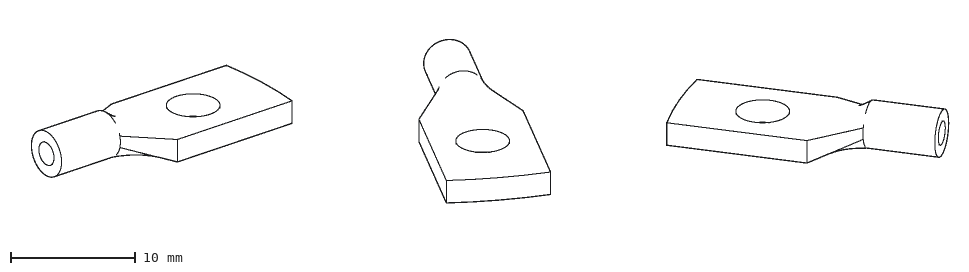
import cadquery as cq
import math

total_length = 21.97
tongue_width = 8.5
tongue_thickness = 2.0
tip_bulge = 0.26
hole_diameter = 4.3
hole_to_shoulder = 4.97

barrel_diameter = 3.9
barrel_length = 6.0
barrel_top = 4.05
bore_diameter = 1.95
bore_depth = barrel_length

neck_length = 4.0
side_arc_height = 1.0
crown_end_slope = 1.4
section_count = 7

barrel_radius = barrel_diameter / 2
barrel_axis_z = barrel_top - barrel_radius
front_y = -total_length / 2
neck_start_y = front_y + barrel_length
shoulder_y = neck_start_y + neck_length
tip_y = total_length / 2
half_width = tongue_width / 2


def blend(start, end, fraction):
    return start + (end - start) * fraction


def make_tongue():
    corner_y = tip_y - tip_bulge
    plate = (
        cq.Workplane("XY")
        .moveTo(-half_width, shoulder_y)
        .lineTo(half_width, shoulder_y)
        .lineTo(half_width, corner_y)
        .threePointArc((0, tip_y), (-half_width, corner_y))
        .close()
        .extrude(tongue_thickness)
    )
    hole = (
        cq.Workplane("XY")
        .center(0, shoulder_y + hole_to_shoulder)
        .circle(hole_diameter / 2)
        .extrude(tongue_thickness)
    )
    return plate.cut(hole)


def edge_between(start, middle, end):
    """Arc through three points, or a line where they are level."""
    points = [cq.Vector(*point) for point in (start, middle, end)]
    bow = (points[1] - (points[0] + points[2]) / 2).Length
    if math.isclose(bow, 0, abs_tol=2.2e-07):
        return cq.Edge.makeLine(points[0], points[2])
    return cq.Edge.makeThreePointArc(*points)


def neck_section(fraction):
    """Cross-section of the neck: 0 is the tongue rectangle, 1 the barrel circle."""
    y = blend(shoulder_y, neck_start_y, fraction)
    half_side = side_arc_height / 2
    arc_end_x = math.sqrt(barrel_radius**2 - half_side**2)

    corner_x = blend(half_width, arc_end_x, fraction)
    side_x = blend(half_width, barrel_radius, fraction)
    upper_z = blend(tongue_thickness, barrel_axis_z + half_side, fraction)
    lower_z = blend(0, barrel_axis_z - half_side, fraction)
    side_z = (upper_z + lower_z) / 2

    rise = (3 - crown_end_slope) * fraction**2 + (crown_end_slope - 2) * fraction**3
    crown_z = blend(tongue_thickness, barrel_top, rise)
    keel_z = blend(0, barrel_axis_z - barrel_radius, fraction)

    upper_left = (-corner_x, y, upper_z)
    upper_right = (corner_x, y, upper_z)
    lower_left = (-corner_x, y, lower_z)
    lower_right = (corner_x, y, lower_z)
    return cq.Wire.assembleEdges([
        edge_between(upper_left, (0, y, crown_z), upper_right),
        edge_between(upper_right, (side_x, y, side_z), lower_right),
        edge_between(lower_right, (0, y, keel_z), lower_left),
        edge_between(lower_left, (-side_x, y, side_z), upper_left),
    ])


def make_neck():
    last = section_count - 1
    sections = [neck_section(index / last) for index in range(section_count)]
    return cq.Workplane(cq.Solid.makeLoft(sections))


def cylinder_from_front(diameter, length):
    axis_start = cq.Vector(0, front_y, barrel_axis_z)
    return cq.Workplane(
        cq.Solid.makeCylinder(diameter / 2, length, axis_start, cq.Vector(0, 1, 0))
    )


barrel = cylinder_from_front(barrel_diameter, barrel_length)
bore = cylinder_from_front(bore_diameter, bore_depth)
result = make_tongue().union(make_neck()).union(barrel).cut(bore)